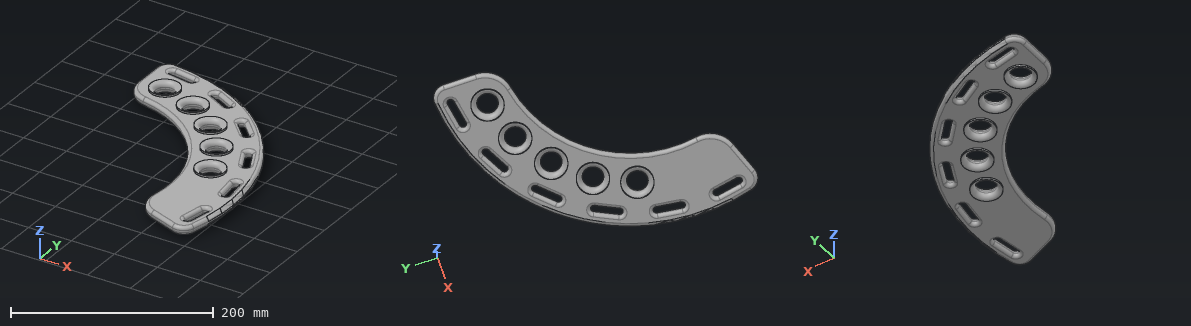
import cadquery as cq
import math

plate_thickness = 10.0
outer_radius = 209.8
inner_radius = 134.8
start_angle = 90.0
end_angle = -20.0
middle_angle = (start_angle + end_angle) / 2
outer_corner_radius = 14.5
inner_corner_radius = 29.0
edge_round = 4.0

rim_height = 2.08
hole_count = 5
hole_circle_radius = 163.0
first_hole_angle = 78.6
hole_pitch_angle = 15.5
hole_diameter = 21.0
rim_diameter = 33.0
hole_round = (rim_diameter - hole_diameter) / 2
rim_thickness = plate_thickness + 2 * rim_height

slot_count = 6
slot_circle_radius = 194.5
slot_pitch_angle = 18.2
slot_straight_length = 25.2
slot_width = 7.0

centre_x = -outer_radius / 2
centre_y = -70.9


def polar(radius, angle):
    """Point at a radius and angle (degrees) about the centre of curvature."""
    turn = math.radians(angle)
    return (radius * math.cos(turn), radius * math.sin(turn))


def slot_angles():
    first_angle = middle_angle + slot_pitch_angle * (slot_count - 1) / 2
    return [first_angle - i * slot_pitch_angle for i in range(slot_count)]


def hole_centres():
    angles = [first_hole_angle - i * hole_pitch_angle for i in range(hole_count)]
    return [polar(hole_circle_radius, angle) for angle in angles]


def make_plate():
    plate = (
        cq.Workplane("XY")
        .workplane(offset=-plate_thickness / 2)
        .moveTo(*polar(inner_radius, start_angle))
        .lineTo(*polar(outer_radius, start_angle))
        .threePointArc(polar(outer_radius, middle_angle), polar(outer_radius, end_angle))
        .lineTo(*polar(inner_radius, end_angle))
        .threePointArc(polar(inner_radius, middle_angle), polar(inner_radius, start_angle))
        .close()
        .extrude(plate_thickness)
    )
    for radius, corner_round in (
        (outer_radius, outer_corner_radius),
        (inner_radius, inner_corner_radius),
    ):
        for angle in (start_angle, end_angle):
            corner = cq.selectors.NearestToPointSelector((*polar(radius, angle), 0))
            plate = plate.edges("|Z").edges(corner).fillet(corner_round)
    return plate


def cut_slots(plate):
    for angle in slot_angles():
        slot = (
            cq.Workplane("XY")
            .slot2D(slot_straight_length + slot_width, slot_width, 90)
            .extrude(plate_thickness, both=True)
            .translate((slot_circle_radius, 0, 0))
            .rotate((0, 0, 0), (0, 0, 1), angle)
        )
        plate = plate.cut(slot)
    return plate


def make_rims():
    return (
        cq.Workplane("XY")
        .workplane(offset=-rim_thickness / 2)
        .pushPoints(hole_centres())
        .circle(rim_diameter / 2)
        .extrude(rim_thickness)
    )


def make_hole_cutter():
    """Through hole that flares in a quarter round to the full rim width at both ends."""
    throat = hole_diameter / 2
    mouth = rim_diameter / 2
    top = rim_thickness / 2
    flare_start = top - hole_round
    diagonal = hole_round * math.sqrt(0.5)
    return (
        cq.Workplane("XZ")
        .moveTo(0, -top)
        .lineTo(mouth, -top)
        .threePointArc((mouth - diagonal, -flare_start - diagonal), (throat, -flare_start))
        .lineTo(throat, flare_start)
        .threePointArc((mouth - diagonal, flare_start + diagonal), (mouth, top))
        .lineTo(0, top)
        .close()
        .revolve(360, (0, 0, 0), (0, 1, 0))
    )


part = cut_slots(make_plate()).faces("<Z or >Z").edges().fillet(edge_round)
part = part.union(make_rims())
hole_cutter = make_hole_cutter()
for x, y in hole_centres():
    part = part.cut(hole_cutter.translate((x, y, 0)))

result = part.translate((centre_x, centre_y, 0))